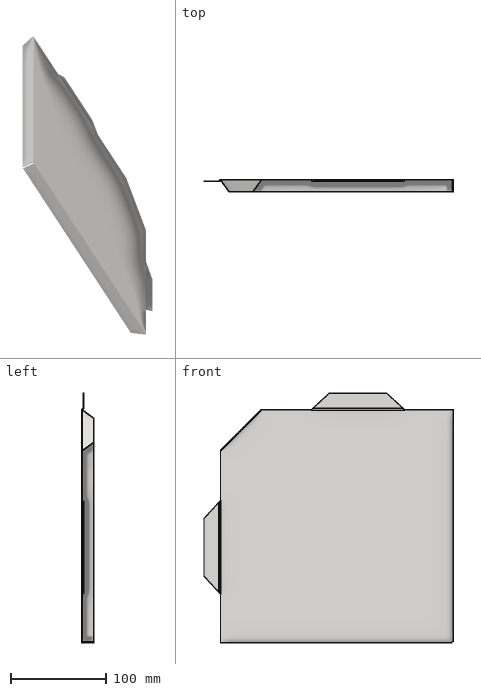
import cadquery as cq
import math

size = 262.2
depth = 13.0
sheet = 0.8
tab_reach = 17.3
corner_cut = 42.7
flange_end_taper = 9.2
corner_end_taper = 12.5
notch = 1.5
tab_center = 161.8
tab_root_width = 98.0
tab_tip_width = 60.3
joggle_run = 1.8
joggle_offset = 1.5

panel_left = tab_reach
panel_top = size - tab_reach
panel_front = depth - sheet


def mirrored(half):
    """Reflect across the diagonal X + Z = size, the part's symmetry plane."""
    return half.mirror(cq.Vector(1, 0, 1), (size, 0, 0))


def make_panel():
    outline = [
        (panel_left, 0),
        (size - notch, 0),
        (size - notch, notch),
        (size, notch),
        (size, panel_top),
        (panel_left + corner_cut, panel_top),
        (panel_left, panel_top - corner_cut),
    ]
    return cq.Workplane("XZ", origin=(0, depth, 0)).polyline(outline).close().extrude(sheet)


def make_bottom_flange():
    outline = [
        (panel_left, depth),
        (panel_left, panel_front),
        (panel_left + flange_end_taper, 0),
        (size - notch, 0),
        (size - notch, depth),
    ]
    return cq.Workplane("XY").polyline(outline).close().extrude(sheet)


def make_corner_flange():
    """Trapezoid standing along the clipped corner, tapered at both ends."""
    edge_length = corner_cut * math.sqrt(2)
    edge_plane = cq.Plane(
        origin=(panel_left, depth, panel_top - corner_cut),
        xDir=(1, 0, 1),
        normal=(1, 0, -1),
    )
    outline = [
        (0, 0),
        (0, sheet),
        (corner_end_taper, depth),
        (edge_length - corner_end_taper, depth),
        (edge_length, sheet),
        (edge_length, 0),
    ]
    return cq.Workplane(edge_plane).polyline(outline).close().extrude(sheet)


def make_top_tab():
    """Joggled strip, trimmed to a trapezoid that narrows toward its tip."""
    joggle_end = panel_top + joggle_run
    back = depth - joggle_offset
    profile = [
        (depth, panel_top - sheet),
        (depth, panel_top),
        (back, joggle_end),
        (back, size),
        (back - sheet, size),
        (back - sheet, joggle_end - sheet),
        (panel_front, panel_top - sheet),
    ]
    strip = (
        cq.Workplane("YZ", origin=(tab_center, 0, 0))
        .polyline(profile).close()
        .extrude(tab_root_width / 2, both=True)
    )
    half_root = tab_root_width / 2
    half_tip = tab_tip_width / 2
    trapezoid = [
        (tab_center - half_root, panel_top - sheet),
        (tab_center - half_root, panel_top),
        (tab_center - half_tip, size),
        (tab_center + half_tip, size),
        (tab_center + half_root, panel_top),
        (tab_center + half_root, panel_top - sheet),
    ]
    trim = cq.Workplane("XZ", origin=(0, depth, 0)).polyline(trapezoid).close().extrude(depth)
    return strip.intersect(trim)


bottom_flange = make_bottom_flange()
top_tab = make_top_tab()

result = make_panel().union(make_corner_flange())
for feature in (bottom_flange, top_tab):
    result = result.union(feature).union(mirrored(feature))